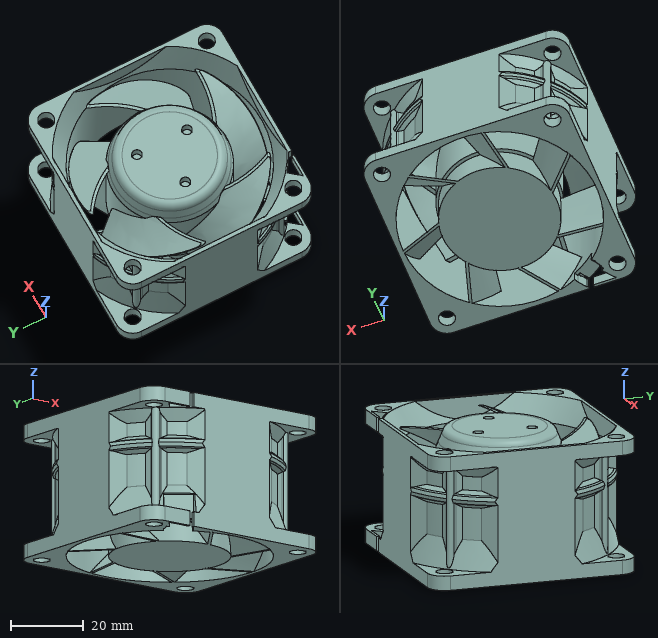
import cadquery as cq
import math

SIDE = 60.0
HEIGHT = 38.0
CORNER_RADIUS = 5.0
FLANGE = 4.15
HOLE_OFFSET = 25.0
HOLE_DIAMETER = 4.6
CORNER_CUT = 18.8
TUBE_RADIUS = 30.3
LOWER_FLARE_HEIGHT = 12.35
LOWER_FLARE_RADIUS = 32.8
UPPER_FLARE_HEIGHT = 30.35
UPPER_FLARE_RADIUS = 32.15
UPPER_FLANGE_BASE = HEIGHT - FLANGE

BEAD_HEIGHT = 24.0
BEAD_BASE_HALF = 2.45
BEAD_FOOT_HALF = 1.4
BEAD_EDGE_HALF = 1.1
BEAD_FOOT_RADIUS = 31.45
BEAD_EDGE_RADIUS = 32.05
BEAD_CREST_RADIUS = 32.35

RIB_FOOT_REACH = 30.2
RIB_FOOT_HALF = 3.0
RIB_NECK_REACH = 31.2
RIB_NECK_HALF = 1.55
RIB_TIP_RADIUS = 1.15
RIB_REACH = 32.7

BORE_RADIUS = 28.45
INLET_RADIUS = 32.2
INLET_FLOOR = 31.2
INLET_HALF_WIDTH = 28.8

SLOT_RADIUS = 32.6
SLOT_OVERLAP = 0.05
SLOT_STRIP = 0.85
SLOT_LEFT = -23.05
SLOT_TIP_X = -20.1
SLOT_RIGHT = -14.95
SLOT_MOUTH = 1.4
POCKET_TOP = 9.95
POCKET_LEFT = (-21.9, -25.55)
POCKET_BACK_LEFT = (-19.5, -22.1)
POCKET_BACK_RIGHT = (-12.7, -26.75)
POCKET_RIGHT = (-14.1, -30.0)
SHELF_THICKNESS = 0.95
SHELF_WIDTH = 5.3
SHELF_SHIFT = 1.0

BASE_RADIUS = 16.8
BASE_HEIGHT = 7.8
VANE_COUNT = 7
VANE_THICKNESS = 0.85
VANE_ROOT_RADIUS = 16.2
VANE_END_RADIUS = 29.4
VANE_TOP_ROOT_ANGLE = 41.5
VANE_TOP_END_ANGLE = 32.5
VANE_BOTTOM_ROOT_ANGLE = 66.0
VANE_BOTTOM_END_ANGLE = 48.5

HUB_BOTTOM = 8.4
HUB_TOP = 37.0
HUB_FACE_RADIUS = 13.1
HUB_RADIUS = 17.5
HUB_SHOULDER = (15.85, 35.05)
HUB_CROWN_BULGE = 0.7
HUB_BAND = (16.85, 32.65)
HUB_BAND_BASE = 31.0
HUB_HOLE_COUNT = 3
HUB_HOLE_DIAMETER = 2.9
HUB_HOLE_CIRCLE = 9.0
HUB_HOLE_DEPTH = 3.0
HUB_HOLE_ANGLE = 60.0
BLADE_COUNT = 5
BLADE_TIP_RADIUS = 27.7
BLADE_BOTTOM = 15.6
BLADE_TOP = 36.0
BLADE_TOP_AT_HUB = 33.0
BLADE_CORNER_RADIUS = 0.7
BLADE_ROOT_DEPTH = 0.6
BLADE_OVERRUN = 2.4
BLADE_THICKNESS = 1.2
BLADE_SECTIONS = 5
BLADE_SWEEP_SHARE = 0.2
LEADING_ROOT_ANGLE = 86.0
LEADING_TIP_ANGLE = 100.0
TRAILING_ROOT_ANGLE = 13.0
TRAILING_TIP_ANGLE = 32.5


def square_prism(side, bottom, top):
    return cq.Workplane("XY").workplane(offset=bottom).rect(side, side).extrude(top - bottom)


def disc(radius, bottom, top):
    return cq.Workplane("XY").workplane(offset=bottom).circle(radius).extrude(top - bottom)


def prism(points, bottom, top):
    return cq.Workplane("XY").workplane(offset=bottom).polyline(points).close().extrude(top - bottom)


def polar(radius, degrees):
    angle = math.radians(degrees)
    return (radius * math.cos(angle), radius * math.sin(angle))


def outward(point):
    """Point moved away from the axis, to carry a cut past the face it opens into."""
    return (1.1 * point[0], 1.1 * point[1])


def on_circle(radius, x):
    """Point of a circle about the axis at the given x, on the -Y side."""
    return (x, -math.sqrt(radius**2 - x**2))


def skew_strip(root_radius, root_angle, tip_radius, tip_angle, thickness, z, overrun=0.0):
    """Level rectangle whose clockwise side runs from the root point to the tip point."""
    root = cq.Vector(*polar(root_radius, root_angle))
    tip = cq.Vector(*polar(tip_radius, tip_angle))
    along = (tip - root).normalized()
    across = cq.Vector(-along.y, along.x) * thickness
    lift = cq.Vector(0, 0, z)
    inner = root - along * overrun + lift
    outer = tip + along * overrun + lift
    return cq.Wire.makePolygon([inner, outer, outer + across, inner + across], close=True)


def flange(bottom):
    plate = square_prism(SIDE, bottom, bottom + FLANGE)
    return plate.edges("|Z").fillet(CORNER_RADIUS)


def tube():
    """Flared tube with its bead, still solid inside."""
    profile = [
        (0, FLANGE),
        (LOWER_FLARE_RADIUS, FLANGE),
        (TUBE_RADIUS, LOWER_FLARE_HEIGHT),
        (TUBE_RADIUS, BEAD_HEIGHT - BEAD_BASE_HALF),
        (BEAD_FOOT_RADIUS, BEAD_HEIGHT - BEAD_FOOT_HALF),
        (BEAD_EDGE_RADIUS, BEAD_HEIGHT - BEAD_EDGE_HALF),
        (BEAD_CREST_RADIUS, BEAD_HEIGHT),
        (BEAD_EDGE_RADIUS, BEAD_HEIGHT + BEAD_EDGE_HALF),
        (BEAD_FOOT_RADIUS, BEAD_HEIGHT + BEAD_FOOT_HALF),
        (TUBE_RADIUS, BEAD_HEIGHT + BEAD_BASE_HALF),
        (TUBE_RADIUS, UPPER_FLARE_HEIGHT),
        (UPPER_FLARE_RADIUS, UPPER_FLANGE_BASE),
        (0, UPPER_FLANGE_BASE),
    ]
    return cq.Workplane("XZ").polyline(profile).close().revolve(360, (0, 0), (0, 1))


def corner_rib(angle):
    tip_start = RIB_REACH - RIB_TIP_RADIUS
    rib = (
        cq.Workplane("XY")
        .workplane(offset=FLANGE)
        .moveTo(0, -RIB_FOOT_HALF)
        .lineTo(RIB_FOOT_REACH, -RIB_FOOT_HALF)
        .lineTo(RIB_NECK_REACH, -RIB_NECK_HALF)
        .lineTo(tip_start, -RIB_TIP_RADIUS)
        .threePointArc((RIB_REACH, 0), (tip_start, RIB_TIP_RADIUS))
        .lineTo(RIB_NECK_REACH, RIB_NECK_HALF)
        .lineTo(RIB_FOOT_REACH, RIB_FOOT_HALF)
        .lineTo(0, RIB_FOOT_HALF)
        .close()
        .extrude(UPPER_FLANGE_BASE - FLANGE)
    )
    return rib.rotate((0, 0, 0), (0, 0, 1), angle)


def middle_section():
    """Walls between the flanges: flat sides, exposed tube and a rib in each corner."""
    walls = square_prism(SIDE, FLANGE, UPPER_FLANGE_BASE).edges("|Z").chamfer(CORNER_CUT)
    walls = walls.union(tube())
    for corner in range(4):
        walls = walls.union(corner_rib(45 + 90 * corner))
    return walls.intersect(square_prism(SIDE, FLANGE, UPPER_FLANGE_BASE))


def air_passage():
    inlet = (
        cq.Workplane("XZ")
        .polyline([(0, INLET_FLOOR), (BORE_RADIUS, INLET_FLOOR), (INLET_RADIUS, HEIGHT), (0, HEIGHT)])
        .close()
        .revolve(360, (0, 0), (0, 1))
        .intersect(square_prism(2 * INLET_HALF_WIDTH, 0, HEIGHT))
    )
    return disc(BORE_RADIUS, 0, HEIGHT).union(inlet)


def mounting_holes():
    spacing = 2 * HOLE_OFFSET
    centres = cq.Workplane("XY").rect(spacing, spacing, forConstruction=True).vertices()
    return centres.circle(HOLE_DIAMETER / 2).extrude(HEIGHT)


def flange_slot(bottom):
    """Slot for the cable through one flange, open to the front by a narrow mouth."""
    strip_face = SLOT_STRIP - SIDE / 2
    right_end = on_circle(SLOT_RADIUS, SLOT_RIGHT)
    tip = on_circle(SLOT_RADIUS, SLOT_TIP_X)
    mid = on_circle(SLOT_RADIUS, (tip[0] + SLOT_RIGHT) / 2)
    return (
        cq.Workplane("XY")
        .workplane(offset=bottom)
        .moveTo(SLOT_LEFT, strip_face)
        .lineTo(*tip)
        .threePointArc(mid, right_end)
        .lineTo(SLOT_RIGHT, -SIDE / 2)
        .lineTo(SLOT_RIGHT - SLOT_MOUTH, -SIDE / 2)
        .lineTo(SLOT_RIGHT - SLOT_MOUTH, strip_face)
        .close()
        .extrude(FLANGE)
    )


def pocket_outline():
    return [POCKET_LEFT, POCKET_BACK_LEFT, POCKET_BACK_RIGHT, POCKET_RIGHT]


def cable_pocket():
    """Recess above the lower flange where the cable leaves the wall."""
    outer_corner = (POCKET_LEFT[0], POCKET_RIGHT[1])
    return prism(pocket_outline() + [outer_corner], FLANGE, POCKET_TOP)


def cable_shelf():
    """Block that holds the shelf standing out from the back face of the pocket."""
    left, right = POCKET_BACK_LEFT, POCKET_BACK_RIGHT
    angle = math.degrees(math.atan2(right[1] - left[1], right[0] - left[0]))
    shelf = (
        cq.Workplane("XY")
        .center(SHELF_SHIFT, -SLOT_RADIUS)
        .rect(SHELF_WIDTH, SLOT_RADIUS)
        .extrude(SHELF_THICKNESS)
    )
    shelf = shelf.translate((0, 0, FLANGE - SHELF_THICKNESS))
    return shelf.rotate((0, 0, 0), (0, 0, 1), angle)


def cable_opening():
    """Passage under the shelf from the air passage to the slot, rising past both shelf ends."""
    right_end = on_circle(SLOT_RADIUS, SLOT_RIGHT)
    left_side = [outward(on_circle(SLOT_RADIUS, SLOT_TIP_X))]
    right_side = [outward(right_end)]
    back = [POCKET_BACK_LEFT, POCKET_BACK_RIGHT]
    gaps = prism(left_side + back + right_side, 0, FLANGE)
    inward = [POCKET_BACK_LEFT, (0, 0), POCKET_BACK_RIGHT]
    below_shelf = prism(left_side + inward + right_side, 0, FLANGE - SHELF_THICKNESS)
    below_shelf = below_shelf.cut(disc(BORE_RADIUS, 0, FLANGE))
    opening = gaps.cut(cable_shelf()).union(below_shelf)
    return opening.intersect(disc(SLOT_RADIUS + SLOT_OVERLAP, 0, FLANGE))


def guide_vane():
    """Slanted vane that joins the motor base to the tube wall."""
    bottom = skew_strip(
        VANE_ROOT_RADIUS, VANE_BOTTOM_ROOT_ANGLE, VANE_END_RADIUS, VANE_BOTTOM_END_ANGLE, VANE_THICKNESS, 0)
    top = skew_strip(
        VANE_ROOT_RADIUS, VANE_TOP_ROOT_ANGLE, VANE_END_RADIUS, VANE_TOP_END_ANGLE, VANE_THICKNESS, BASE_HEIGHT)
    return cq.Workplane(cq.Solid.makeLoft([bottom, top], True))


def motor_base():
    base = disc(BASE_RADIUS, 0, BASE_HEIGHT)
    vane = guide_vane()
    for index in range(VANE_COUNT):
        base = base.union(vane.rotate((0, 0, 0), (0, 0, 1), index * 360 / VANE_COUNT))
    return base


def build_housing():
    body = flange(0).union(middle_section()).union(flange(UPPER_FLANGE_BASE))
    body = body.cut(air_passage()).cut(mounting_holes())
    body = body.union(motor_base())
    body = body.cut(flange_slot(0)).cut(flange_slot(UPPER_FLANGE_BASE))
    return body.cut(cable_pocket()).cut(cable_opening())


def hub():
    body = (
        cq.Workplane("XZ")
        .moveTo(0, HUB_BOTTOM)
        .lineTo(HUB_RADIUS, HUB_BOTTOM)
        .lineTo(HUB_RADIUS, HUB_BAND_BASE)
        .lineTo(*HUB_BAND)
        .lineTo(*HUB_SHOULDER)
        .sagittaArc((HUB_FACE_RADIUS, HUB_TOP), -HUB_CROWN_BULGE)
        .lineTo(0, HUB_TOP)
        .close()
        .revolve(360, (0, 0), (0, 1))
    )
    holes = (
        cq.Workplane("XY")
        .workplane(offset=HUB_TOP - HUB_HOLE_DEPTH)
        .polarArray(HUB_HOLE_CIRCLE, HUB_HOLE_ANGLE, 360, HUB_HOLE_COUNT)
        .circle(HUB_HOLE_DIAMETER / 2)
        .extrude(HUB_HOLE_DEPTH)
    )
    return body.cut(holes)


def blade_envelope():
    """Ring that trims the blades: sloped top edge, rounded tip corner and cylindrical tip."""
    root_radius = HUB_RADIUS - BLADE_ROOT_DEPTH
    ring = (
        cq.Workplane("XZ")
        .polyline([
            (root_radius, BLADE_BOTTOM),
            (BLADE_TIP_RADIUS, BLADE_BOTTOM),
            (BLADE_TIP_RADIUS, BLADE_TOP),
            (root_radius, BLADE_TOP_AT_HUB),
        ])
        .close()
        .revolve(360, (0, 0), (0, 1))
    )
    return ring.edges(">Z").fillet(BLADE_CORNER_RADIUS)


def blade():
    """Twisted blade, flatter towards its leading edge, lofted through level sections."""
    sections = []
    for level in range(BLADE_SECTIONS):
        height = level / (BLADE_SECTIONS - 1)
        turn = BLADE_SWEEP_SHARE * height + (1 - BLADE_SWEEP_SHARE) * height**2
        root_angle = TRAILING_ROOT_ANGLE + turn * (LEADING_ROOT_ANGLE - TRAILING_ROOT_ANGLE)
        tip_angle = TRAILING_TIP_ANGLE + turn * (LEADING_TIP_ANGLE - TRAILING_TIP_ANGLE)
        z = BLADE_BOTTOM + height * (BLADE_TOP - BLADE_BOTTOM)
        sections.append(
            skew_strip(HUB_RADIUS, root_angle, BLADE_TIP_RADIUS, tip_angle, BLADE_THICKNESS, z, BLADE_OVERRUN))
    return cq.Workplane(cq.Solid.makeLoft(sections)).intersect(blade_envelope())


def build_impeller():
    body = hub()
    single = blade()
    for index in range(BLADE_COUNT):
        body = body.union(single.rotate((0, 0, 0), (0, 0, 1), index * 360 / BLADE_COUNT))
    return body


housing = build_housing()
impeller = build_impeller()
result = cq.Compound.makeCompound([housing.val(), impeller.val()])